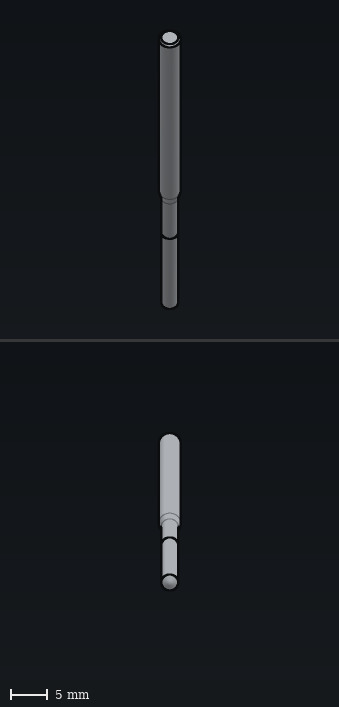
import cadquery as cq

total_length = 57.0
shank_diameter = 3.0
neck_diameter = 2.35
cutter_diameter = 2.35
cutter_length = 15.45
point_height = 0.45
neck_top = 22.9
shank_bottom = 24.3
end_chamfer_width = 0.35
end_chamfer_height = 0.3

shank_radius = shank_diameter / 2
neck_radius = neck_diameter / 2
cutter_radius = cutter_diameter / 2


def make_shank():
    """Shank with a chamfered end, narrowing through a cone to the neck."""
    profile = (
        cq.Workplane("YZ")
        .moveTo(0, cutter_length)
        .lineTo(-neck_radius, cutter_length)
        .lineTo(-neck_radius, neck_top)
        .lineTo(-shank_radius, shank_bottom)
        .lineTo(-shank_radius, total_length - end_chamfer_height)
        .lineTo(-shank_radius + end_chamfer_width, total_length)
        .lineTo(0, total_length)
        .close()
    )
    return profile.revolve(360, (0, 0), (0, 1))


def make_cutter():
    """Cylindrical cutter with a shallow conical point."""
    profile = (
        cq.Workplane("XZ")
        .moveTo(0, 0)
        .lineTo(-cutter_radius, point_height)
        .lineTo(-cutter_radius, cutter_length)
        .lineTo(0, cutter_length)
        .close()
    )
    return profile.revolve(360, (0, 0), (0, 1))


shank = make_shank()
cutter = make_cutter()

result = cq.Compound.makeCompound([shank.val(), cutter.val()])